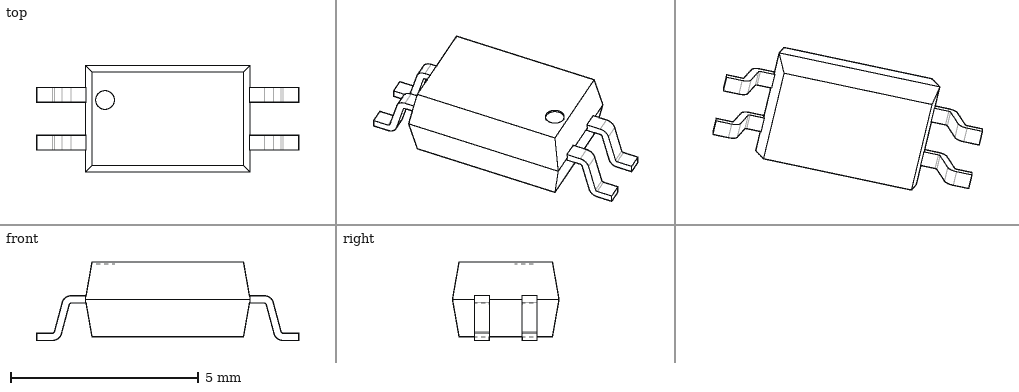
import math

import cadquery as cq

body_length = 4.4
body_width = 2.85
body_height = 2.0
standoff = 0.1
draft_angle = 10.0
half_height = body_height / 2
parting_z = standoff + half_height
body_top_z = standoff + body_height

mark_diameter = 0.5
mark_depth = 0.05
mark_edge_gap = 0.1
mark_y = 0.5
top_half_length = body_length / 2 - half_height * math.tan(math.radians(draft_angle))
mark_x = -(top_half_length - mark_edge_gap - mark_diameter / 2)

lead_span = 7.0
lead_thickness = 0.2
lead_width = 0.4
lead_pitch = 1.27
foot_length = 0.425
leg_angle = 75.0
inner_bend_radius = 0.05
outer_bend_radius = inner_bend_radius + lead_thickness
lead_embed = 0.5
lead_root_x = body_length / 2 - lead_embed


def make_body():
    section = cq.Workplane("XY").workplane(offset=parting_z).rect(body_length, body_width)
    upper = section.extrude(half_height, taper=draft_angle)
    lower = upper.mirror("XY", (0, 0, parting_z))
    return upper.union(lower)


def on_circle(center, radius, angle):
    """Point (x, z) on a circle; angle in degrees from +X towards +Z."""
    radians = math.radians(angle)
    return (center[0] + radius * math.cos(radians), center[1] + radius * math.sin(radians))


def bend_arc(center, radius, start_angle, end_angle):
    """Start, middle and end points of an arc."""
    middle_angle = (start_angle + end_angle) / 2
    return [on_circle(center, radius, angle) for angle in (start_angle, middle_angle, end_angle)]


def make_lead(y):
    """Lead on the +X side: shoulder, upper bend, sloping leg, lower bend and foot."""
    slope = math.radians(leg_angle)
    shoulder_top = parting_z + lead_thickness / 2
    shoulder_bottom = shoulder_top - lead_thickness

    bend_radius = inner_bend_radius + lead_thickness / 2
    leg_drop = shoulder_bottom - 2 * bend_radius * (1 - math.cos(slope))
    bends_run = 2 * bend_radius * math.sin(slope) + leg_drop / math.tan(slope)

    tip_x = lead_span / 2
    foot_x = tip_x - foot_length
    shoulder_x = foot_x - bends_run
    upper_center = (shoulder_x, shoulder_bottom - inner_bend_radius)
    lower_center = (foot_x, outer_bend_radius)

    upper_leg_normal = 90 - leg_angle
    lower_leg_normal = 270 - leg_angle
    upper_outer = bend_arc(upper_center, outer_bend_radius, 90, upper_leg_normal)
    lower_inner = bend_arc(lower_center, inner_bend_radius, lower_leg_normal, 270)
    lower_outer = bend_arc(lower_center, outer_bend_radius, 270, lower_leg_normal)
    upper_inner = bend_arc(upper_center, inner_bend_radius, upper_leg_normal, 90)

    profile = (
        cq.Workplane("XZ", origin=(0, y, 0))
        .moveTo(lead_root_x, shoulder_top)
        .lineTo(*upper_outer[0])
        .threePointArc(*upper_outer[1:])
        .lineTo(*lower_inner[0])
        .threePointArc(*lower_inner[1:])
        .lineTo(tip_x, lead_thickness)
        .lineTo(tip_x, 0)
        .lineTo(*lower_outer[0])
        .threePointArc(*lower_outer[1:])
        .lineTo(*upper_inner[0])
        .threePointArc(*upper_inner[1:])
        .lineTo(lead_root_x, shoulder_bottom)
        .close()
    )
    return profile.extrude(lead_width / 2, both=True)


def make_pin_mark():
    return (
        cq.Workplane("XY", origin=(mark_x, mark_y, body_top_z))
        .circle(mark_diameter / 2)
        .extrude(-mark_depth)
    )


result = make_body().cut(make_pin_mark())
for lead_y in (-lead_pitch / 2, lead_pitch / 2):
    right_lead = make_lead(lead_y)
    result = result.union(right_lead).union(right_lead.mirror("YZ"))